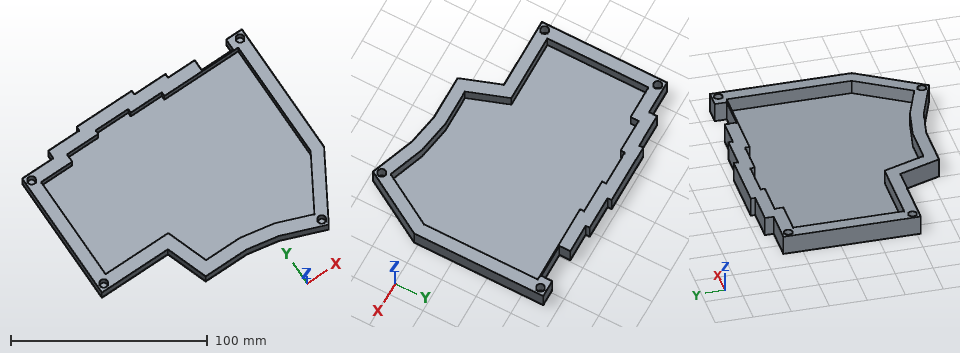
import cadquery as cq
import math

length = 136.5
height = 10.5
floor_thickness = 3.0
wall = 7.0

column_pitch = 19.1
column_step = 2.3
rear_left_y = 72.4
rear_second_y = rear_left_y + 2 * column_step
rear_peak_y = rear_second_y + column_step
rear_right_y = rear_left_y + column_step
peak_end_x = 72.1
second_step_down_x = peak_end_x + column_pitch

notch_start_x = 107.6
notch_width = 19.3
web_thickness = 0.7

thumb_root_x = 40.5
thumb_left = (48.5, -22.5)
thumb_bend_1 = (73.7, thumb_left[1])
thumb_bend_2 = (91.2, -25.8)
thumb_tip = (115.6, -35.1)

hole_diameter = 4.5
hole_depth = height - floor_thickness
hole_inset = wall / 2
thumb_hole = (114.1, -30.9)

OUTLINE = [
    (0, 0),
    (0, rear_left_y),
    (column_pitch, rear_left_y),
    (column_pitch, rear_second_y),
    (2 * column_pitch, rear_second_y),
    (2 * column_pitch, rear_peak_y),
    (peak_end_x, rear_peak_y),
    (peak_end_x, rear_second_y),
    (second_step_down_x, rear_second_y),
    (second_step_down_x, rear_right_y),
    (length, rear_right_y),
    (length, 0),
    thumb_tip,
    thumb_bend_2,
    thumb_bend_1,
    thumb_left,
    (thumb_root_x, 0),
]

HOLE_CENTRES = [
    (hole_inset, hole_inset),
    (hole_inset, rear_left_y - hole_inset),
    (length - hole_inset, rear_right_y - hole_inset),
    thumb_hole,
]


def inward_normal(start, end):
    """Unit normal on the right of an edge, which is the inside of a clockwise outline."""
    run = end[0] - start[0]
    rise = end[1] - start[1]
    span = math.hypot(run, rise)
    return rise / span, -run / span


def inset_outline(points, distance):
    """Clockwise outline with every edge moved inward by the distance, corners kept sharp."""
    inset_points = []
    for index, corner in enumerate(points):
        normal_in = inward_normal(points[index - 1], corner)
        normal_out = inward_normal(corner, points[(index + 1) % len(points)])
        cosine = normal_in[0] * normal_out[0] + normal_in[1] * normal_out[1]
        scale = distance / (1 + cosine)
        inset_points.append((
            corner[0] + scale * (normal_in[0] + normal_out[0]),
            corner[1] + scale * (normal_in[1] + normal_out[1]),
        ))
    return inset_points


def make_block():
    """Solid plate with the case outline."""
    return cq.Workplane("XY").polyline(OUTLINE).close().extrude(height)


def make_pocket():
    """Pocket volume: the outline moved inward by the wall, above the floor."""
    return (
        cq.Workplane("XY", origin=(0, 0, floor_thickness))
        .polyline(inset_outline(OUTLINE, wall))
        .close()
        .extrude(height - floor_thickness)
    )


def make_notch():
    """Full-height notch that opens through the rear edge."""
    notch_depth = wall - web_thickness
    return cq.Workplane("XY").box(notch_width, notch_depth, height, centered=False).translate(
        (notch_start_x, rear_right_y - notch_depth, 0)
    )


def make_holes():
    """Blind holes drilled down from the top of the rim."""
    return (
        cq.Workplane("XY", origin=(0, 0, height))
        .pushPoints(HOLE_CENTRES)
        .circle(hole_diameter / 2)
        .extrude(-hole_depth)
    )


result = make_block().cut(make_pocket()).cut(make_notch()).cut(make_holes())